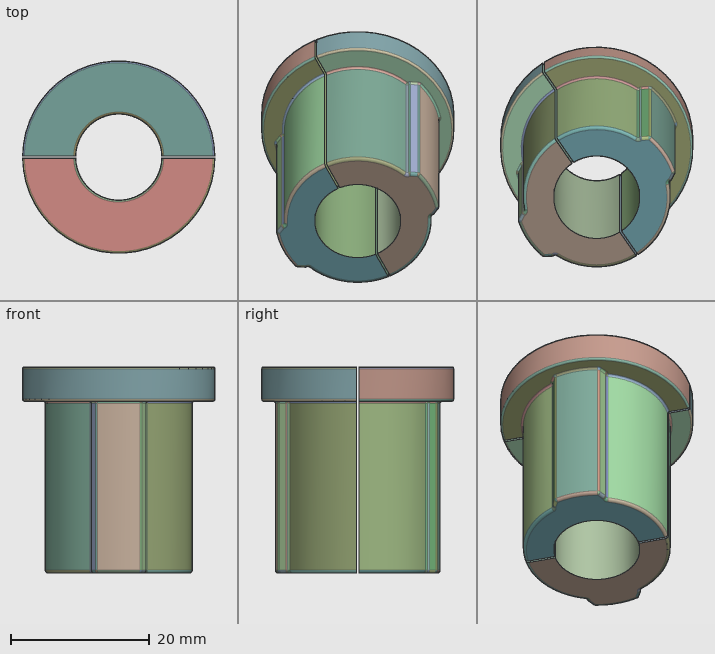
import cadquery as cq
import math

total_height = 29.72
flange_diameter = 27.736
flange_thickness = 4.94
shank_diameter = 21.2
bore_diameter = 12.4
split_gap = 0.3

key_tip_diameter = 23.8
key_half_width = 3.95
key_shoulder_y = 10.26
key_side_lean = 30.0
key_root_radius = 0.35
key_shoulder_radius = 0.4
key_tip_edge_radius = 0.5

flange_top_radius = 0.25
flange_bottom_radius = 0.3
flange_root_radius = 0.3
shank_end_radius = 0.45
bore_mouth_radius = 0.3

flange_radius = flange_diameter / 2
shank_radius = shank_diameter / 2
key_tip_radius = key_tip_diameter / 2
shank_length = total_height - flange_thickness
key_root_y = math.sqrt(shank_radius**2 - key_half_width**2)

lean = math.radians(key_side_lean)
side_x = math.sin(lean)
side_y = math.cos(lean)
side_offset = key_shoulder_y * side_y - key_half_width * side_x
shoulder_distance_squared = key_half_width**2 + key_shoulder_y**2
lean_length = math.sqrt(side_offset**2 + key_tip_radius**2 - shoulder_distance_squared) - side_offset
key_tip_half_width = key_half_width - lean_length * side_x
key_tip_y = key_shoulder_y + lean_length * side_y


def corner_edges(half_width, y):
    """Selector for the four vertical edges at (+-half_width, +-y)."""
    tolerance = key_root_radius / 10
    selectors = [
        cq.selectors.BoxSelector(
            (side * half_width - tolerance, end * y - tolerance, 0),
            (side * half_width + tolerance, end * y + tolerance, shank_length),
        )
        for side in (1, -1)
        for end in (1, -1)
    ]
    return selectors[0] + selectors[1] + selectors[2] + selectors[3]


def make_shank():
    """Round shank with two tapered keys whose long edges are rounded."""
    outline = (
        cq.Workplane("XY")
        .moveTo(key_half_width, -key_root_y)
        .threePointArc((shank_radius, 0), (key_half_width, key_root_y))
        .lineTo(key_half_width, key_shoulder_y)
        .lineTo(key_tip_half_width, key_tip_y)
        .threePointArc((0, key_tip_radius), (-key_tip_half_width, key_tip_y))
        .lineTo(-key_half_width, key_shoulder_y)
        .lineTo(-key_half_width, key_root_y)
        .threePointArc((-shank_radius, 0), (-key_half_width, -key_root_y))
        .lineTo(-key_half_width, -key_shoulder_y)
        .lineTo(-key_tip_half_width, -key_tip_y)
        .threePointArc((0, -key_tip_radius), (key_tip_half_width, -key_tip_y))
        .lineTo(key_half_width, -key_shoulder_y)
        .close()
    )
    shank = outline.extrude(shank_length)
    shank = shank.edges(corner_edges(key_half_width, key_root_y)).fillet(key_root_radius)
    shank = shank.edges(corner_edges(key_half_width, key_shoulder_y)).fillet(key_shoulder_radius)
    shank = shank.edges(corner_edges(key_tip_half_width, key_tip_y)).fillet(key_tip_edge_radius)
    return shank.faces("<Z").edges().fillet(shank_end_radius)


def make_flange():
    """Round flange on top of the shank, with both rims rounded."""
    return (
        cq.Workplane("XY")
        .workplane(offset=shank_length)
        .circle(flange_radius)
        .extrude(flange_thickness)
        .faces(">Z")
        .edges()
        .fillet(flange_top_radius)
        .faces("<Z")
        .edges()
        .fillet(flange_bottom_radius)
    )


def make_whole_bushing():
    """Complete bushing before it is split: shank, flange and rounded bore."""
    joined = make_shank().union(make_flange())
    flange_root = cq.selectors.BoxSelector(
        (-key_tip_radius, -key_tip_radius, shank_length - flange_root_radius / 2),
        (key_tip_radius, key_tip_radius, shank_length + flange_root_radius / 2),
        boundingbox=True,
    )
    joined = joined.edges(flange_root).fillet(flange_root_radius)
    bored = joined.faces(">Z").workplane().hole(bore_diameter)
    bore_mouth = cq.selectors.RadiusNthSelector(0)
    return bored.faces(">Z").edges(bore_mouth).fillet(bore_mouth_radius)


def make_half(side):
    """Half bushing on the +Y side (side = 1) or the -Y side (side = -1)."""
    half_block = (
        cq.Workplane("XY")
        .box(flange_diameter, flange_radius, total_height, centered=(True, True, False))
        .translate((0, side * (split_gap + flange_radius) / 2, 0))
    )
    return whole_bushing.intersect(half_block)


whole_bushing = make_whole_bushing()
half_bushings = [make_half(side) for side in (1, -1)]

result = cq.Compound.makeCompound([half.val() for half in half_bushings])